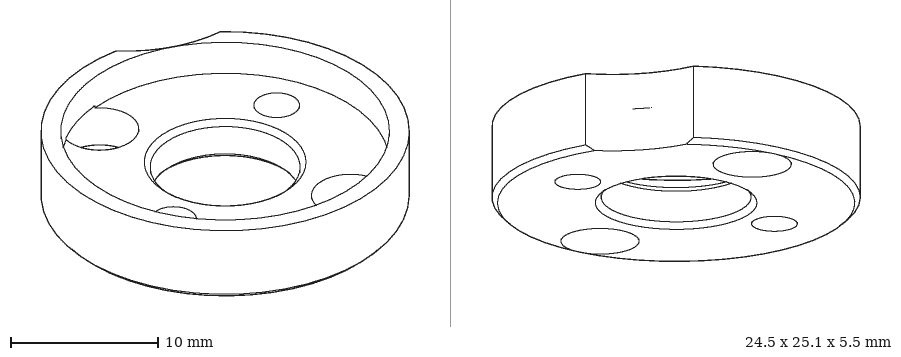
import cadquery as cq

outer_diameter = 25.05
height = 5.5
bottom_chamfer = 0.38

recess_diameter = 22.35
recess_depth = 2.5
floor_thickness = height - recess_depth

bore_diameter = 10.2
bore_chamfer = 0.4

small_hole_diameter = 3.1
small_hole_offset = 5.64
large_hole_diameter = 5.3
large_hole_offset = 6.71
large_hole_rise = 0.18
large_hole_depth = floor_thickness + large_hole_rise

notch_half_width = 3.75
notch_web = 0.03
outer_radius = outer_diameter / 2
notch_corner_x = -((outer_radius**2 - notch_half_width**2) ** 0.5)
notch_bottom_x = -(recess_diameter / 2 + notch_web)
notch_sag = notch_bottom_x - notch_corner_x
notch_radius = (notch_half_width**2 + notch_sag**2) / (2 * notch_sag)


def cylinder(diameter, x, y, length):
    """Vertical cylinder standing on the bottom plane."""
    return cq.Workplane("XY").center(x, y).circle(diameter / 2).extrude(length)


def make_ring():
    """Chamfered disc with the recess and the bore."""
    disc = cq.Workplane("XY").circle(outer_radius).extrude(height)
    disc = disc.faces("<Z").edges().chamfer(bottom_chamfer)
    bored = disc.cut(cylinder(bore_diameter, 0, 0, height))
    recess = cylinder(recess_diameter, 0, 0, recess_depth)
    recess = recess.translate((0, 0, floor_thickness))
    return bored.cut(recess)


def chamfer_bore(body):
    """Break the bore edges at the recess floor and at the bottom."""
    bore_radius = bore_diameter / 2
    wide_radius = bore_radius + bore_chamfer
    upper_cone = cq.Solid.makeCone(bore_radius, wide_radius, bore_chamfer)
    upper_cone = upper_cone.translate(cq.Vector(0, 0, floor_thickness - bore_chamfer))
    lower_cone = cq.Solid.makeCone(wide_radius, bore_radius, bore_chamfer)
    return body.cut(cq.Workplane(upper_cone)).cut(cq.Workplane(lower_cone))


result = chamfer_bore(make_ring())

for side in (-1, 1):
    small_x = side * small_hole_offset
    large_x = side * large_hole_offset
    result = result.cut(cylinder(small_hole_diameter, small_x, -small_x, floor_thickness))
    result = result.cut(cylinder(large_hole_diameter, large_x, large_x, large_hole_depth))

result = result.cut(cylinder(2 * notch_radius, notch_bottom_x - notch_radius, 0, height))